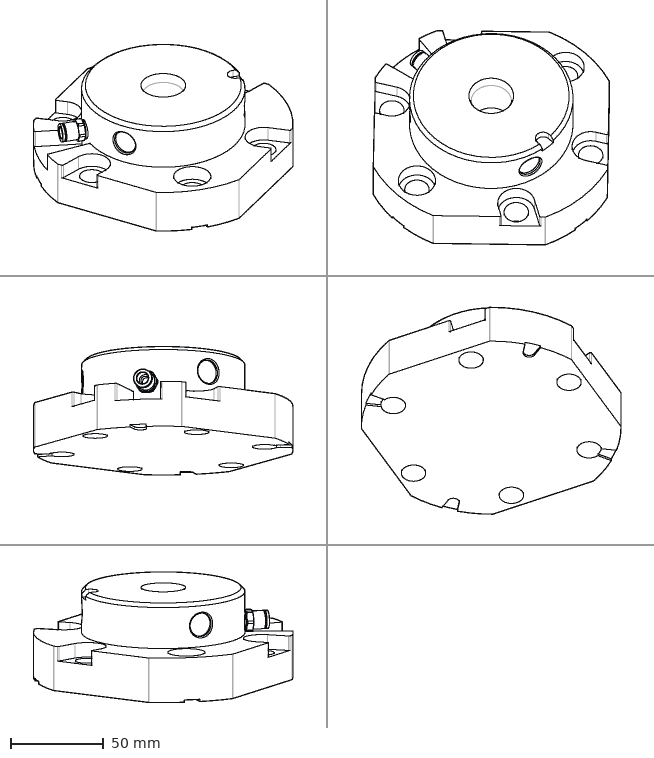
import cadquery as cq
import math

base_diameter = 139.7
base_height = 24.5
flat_distance = 63.0
edge_radius = 0.7

body_diameter = 88.0
total_height = 49.0
body_chamfer = 2.1
body_radius = body_diameter / 2
base_radius = base_diameter / 2

bore_diameter = 21.7
bore_mouth_diameter = 24.0
bore_mouth_depth = 4.9
bore_depth = total_height - base_height

bolt_circle_radius = 55.6
bolt_hole_count = 6
bolt_hole_diameter = 13.1
counterbore_diameter = 20.0
counterbore_depth = 8.0

sector_half_angle = 10.0
sector_floor = 15.0

notch_width = 8.2
notch_depth = 4.0
notch_end = 36.0

side_hole_diameter = 12.7
side_hole_chamfer = 0.7
side_hole_height = 36.3
side_hole_depth = 2.4
side_hole_dish = 0.5
side_hole_angles = (75.0, 195.0, 315.0)

foot_notch_width = 6.5
foot_notch_mouth = 8.8
foot_notch_length = 6.3
foot_notch_height = 1.3

fitting_height = 28.9
collar_diameter = 10.5
collar_length = 0.7
neck_diameter = 9.9
neck_length = 1.1
hex_across_flats = 11.0
hex_turned_diameter = 12.0
hex_length = 3.6
hex_chamfer = 0.3
tube_diameter = 9.9
tube_length = 8.8
groove_diameter = 8.2
groove_width = 0.7
groove_to_tip = 1.4
port_diameter = 6.3
port_depth = 7.0
port_chamfer = 0.3
inner_port_diameter = 4.5
inner_port_depth = 11.2


def cylinder(diameter, height, bottom=0.0):
    """Upright cylinder on the Z axis."""
    return cq.Workplane("XY").workplane(offset=bottom).circle(diameter / 2).extrude(height)


def about_z(shape, angle):
    return shape.rotate((0, 0, 0), (0, 0, 1), angle)


def make_base():
    trim = about_z(
        cq.Workplane("XY").rect(2 * flat_distance, 2 * flat_distance).extrude(base_height), 45
    )
    return about_z(cylinder(base_diameter, base_height), 45).intersect(trim)


def round_outer_edges(plate):
    """Fillet the upright edges that lie outside the flats' inscribed circle."""
    outer_edges = [
        edge
        for edge in plate.edges("|Z").vals()
        if math.hypot(edge.Center().x, edge.Center().y) > flat_distance
    ]
    return plate.newObject(outer_edges).fillet(edge_radius)


def make_body():
    return cylinder(body_diameter, total_height).faces(">Z").edges().chamfer(body_chamfer)


def make_bolt_hole():
    """Through hole on +X."""
    return cylinder(bolt_hole_diameter, base_height).translate((bolt_circle_radius, 0, 0))


def make_counterbore(runs_out):
    """Counterbore for the hole on +X, opened radially outwards if it runs out."""
    floor = base_height - counterbore_depth
    pocket = cylinder(counterbore_diameter, counterbore_depth, floor)
    if runs_out:
        channel = (
            cq.Workplane("XY")
            .workplane(offset=floor)
            .rect(base_radius, counterbore_diameter)
            .extrude(counterbore_depth)
            .translate((base_radius / 2, 0, 0))
        )
        pocket = pocket.union(channel)
    return pocket.translate((bolt_circle_radius, 0, 0))


def make_clearance_sector():
    """Radial wedge towards -Y, reaching past the rim."""
    reach = base_diameter
    half_width = reach * math.tan(math.radians(sector_half_angle))
    return (
        cq.Workplane("XY")
        .workplane(offset=sector_floor)
        .polyline([(0, 0), (-half_width, -reach), (half_width, -reach)])
        .close()
        .extrude(base_height - sector_floor)
    )


def make_foot_notch():
    """Round-ended notch on +X whose sides flare out towards the rim."""
    centre = base_radius - foot_notch_length
    half_end = foot_notch_width / 2
    half_mouth = foot_notch_mouth / 2
    return (
        cq.Workplane("XY")
        .moveTo(base_radius, -half_mouth)
        .lineTo(centre, -half_end)
        .threePointArc((centre - half_end, 0), (centre, half_end))
        .lineTo(base_radius, half_mouth)
        .close()
        .extrude(foot_notch_height)
    )


def make_bore():
    radius = bore_diameter / 2
    flare = (bore_mouth_diameter - bore_diameter) / 2
    arc_radius = (bore_mouth_depth**2 + flare**2) / (2 * flare)
    mouth_bottom = total_height - bore_mouth_depth
    half_rise = bore_mouth_depth / 2
    arc_middle = (
        radius + arc_radius - math.sqrt(arc_radius**2 - half_rise**2),
        mouth_bottom + half_rise,
    )
    return (
        cq.Workplane("XZ")
        .moveTo(0, total_height - bore_depth)
        .lineTo(radius, total_height - bore_depth)
        .lineTo(radius, mouth_bottom)
        .threePointArc(arc_middle, (radius + flare, total_height))
        .lineTo(0, total_height)
        .close()
        .revolve(360, (0, 0, 0), (0, 1, 0))
    )


def make_top_notch():
    centre = notch_end + notch_width / 2
    floor = total_height - notch_depth
    channel_length = body_radius - centre
    channel = (
        cq.Workplane("XY")
        .workplane(offset=floor)
        .rect(notch_width, channel_length)
        .extrude(notch_depth)
        .translate((0, centre + channel_length / 2, 0))
    )
    return cylinder(notch_width, notch_depth, floor).translate((0, centre, 0)).union(channel)


def make_side_hole():
    """Shallow hole into the +X side whose floor is a hollow with a horizontal axis."""
    radius = side_hole_diameter / 2
    floor_radius = (radius**2 + side_hole_dish**2) / (2 * side_hole_dish)
    floor_axis = body_radius - side_hole_depth + floor_radius
    floor_shape = (
        cq.Workplane("XZ")
        .center(floor_axis, 0)
        .circle(floor_radius)
        .extrude(radius * 2, both=True)
    )
    drill = cq.Workplane("YZ").circle(radius).extrude(floor_axis)
    return drill.intersect(floor_shape).translate((0, 0, side_hole_height))


def chamfer_side_holes(drilled_body):
    """Chamfer the hole rims: the free-form edges near the body's round surface, below its notch."""
    rims = [
        edge
        for edge in drilled_body.edges().vals()
        if edge.geomType() not in ("LINE", "CIRCLE")
        and math.hypot(edge.Center().x, edge.Center().y) > body_radius - side_hole_depth / 2
        and edge.Center().z < total_height - notch_depth
    ]
    return drilled_body.newObject(rims).chamfer(side_hole_chamfer)


def make_fitting():
    """Fitting built along +Z from the body's surface, then laid along -Y."""
    root = body_radius / 2
    hex_end = neck_length + hex_length
    tip = hex_end + tube_length
    neck = cylinder(neck_diameter, root + neck_length, -root)
    collar = cylinder(collar_diameter, root + collar_length, -root)
    hexagon = (
        cq.Workplane("XY")
        .workplane(offset=neck_length)
        .polygon(6, hex_across_flats / math.cos(math.pi / 6))
        .extrude(hex_length)
    )
    turned_blank = cylinder(hex_turned_diameter, hex_length, neck_length).edges().chamfer(hex_chamfer)
    nut = hexagon.intersect(turned_blank)
    tube = cylinder(tube_diameter, tube_length, hex_end)
    groove = (
        cylinder(tube_diameter, groove_width, tip - groove_to_tip - groove_width)
        .cut(cylinder(groove_diameter, tip))
    )
    fitting = neck.union(collar).union(nut).union(tube).cut(groove)
    port = cylinder(port_diameter, port_depth, tip - port_depth)
    port_mouth = (
        cq.Workplane("XY")
        .workplane(offset=tip)
        .circle(port_diameter / 2 + port_chamfer)
        .extrude(-port_chamfer, taper=45)
    )
    inner_port = cylinder(inner_port_diameter, inner_port_depth, tip - inner_port_depth)
    fitting = fitting.cut(port).cut(port_mouth).cut(inner_port)
    laid_down = fitting.rotate((0, 0, 0), (1, 0, 0), 90)
    return laid_down.translate((0, -body_radius, fitting_height))


hole_angles = [index * 360 / bolt_hole_count for index in range(bolt_hole_count)]
angles_on_x_axis = [angle for angle in hole_angles if angle % 180 == 0]
angles_at_flats = [angle for angle in hole_angles if angle % 180 != 0]

base = make_base().cut(make_clearance_sector())
for angle in angles_at_flats:
    base = base.cut(about_z(make_counterbore(runs_out=True), angle))
base = round_outer_edges(base)
for angle in angles_on_x_axis:
    base = base.cut(about_z(make_counterbore(runs_out=False), angle))
for angle in hole_angles:
    base = base.cut(about_z(make_bolt_hole(), angle))
for quarter in range(4):
    base = base.cut(about_z(make_foot_notch(), quarter * 90))

body = make_body().cut(make_top_notch())
for angle in side_hole_angles:
    body = body.cut(about_z(make_side_hole(), angle))
body = chamfer_side_holes(body)

result = base.union(body).union(make_fitting()).cut(make_bore())